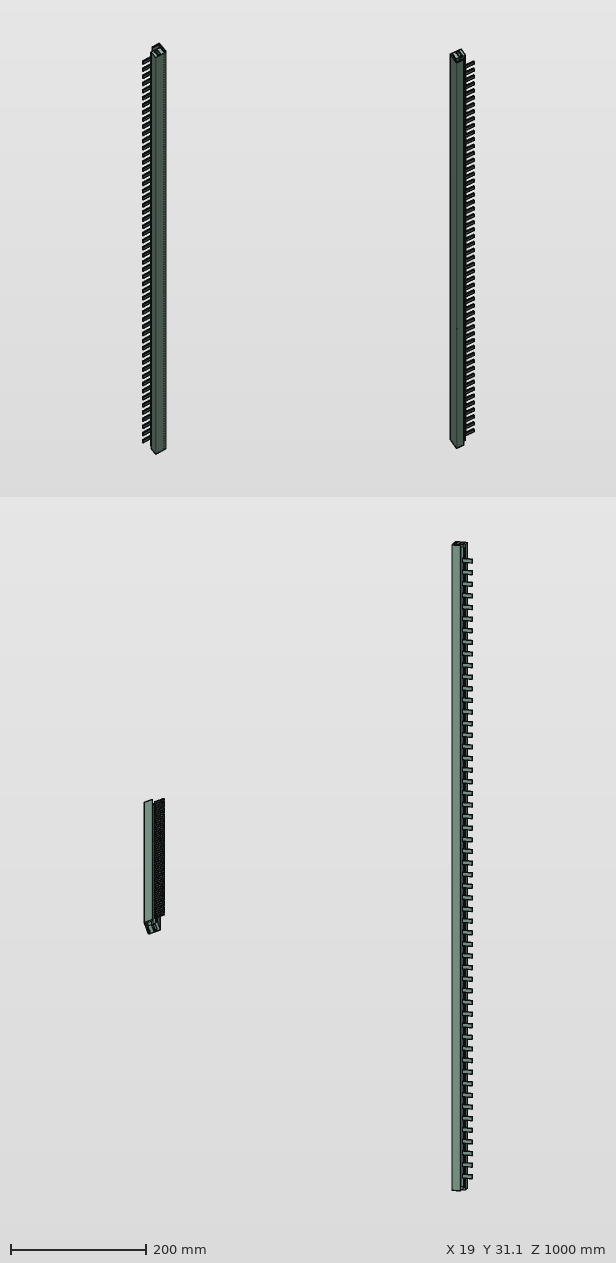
import cadquery as cq

length = 1000.0
width = 19.0
depth = 19.0
corner_radius = 0.6

pin_count = 54
pin_pitch = 18.0
pin_height = 6.0
pin_thickness = 2.0
pin_reach = 12.1
pin_root = 3.2
pin_left = 1.2
pin_right = pin_left + pin_thickness
first_pin_z = (length - (pin_count - 1) * pin_pitch) / 2
last_pin_z = length - first_pin_z

front_y = pin_reach
back_y = front_y + depth
back_wall = 2.0
left_wall = 2.0
left_wall_tip_y = 18.0

core_left = 7.0
core_back_y = 27.7
channel_back_y = back_y - back_wall
channel_right = 17.1
slope_back_y = 19.0
slope_front_y = 14.5
lip_left = 6.3

chamber_left = 8.0
chamber_right = channel_right
chamber_front_y = 16.5
chamber_back_y = 22.0

conductor_end_gap = 4.5
conductor_z = (conductor_end_gap, length - conductor_end_gap)
bar_thickness = 3.0
strip_left = 4.0
strip_front_y = 13.0
strip_back_y = 14.5


def block(x_range, y_range, z_range):
    """A box between the given limits."""
    size = [high - low for low, high in (x_range, y_range, z_range)]
    corner = (x_range[0], y_range[0], z_range[0])
    return cq.Workplane("XY").box(*size, centered=False).translate(corner)


def rounded_corner(body, x, y):
    """Round the lengthwise edge at (x, y)."""
    reach = corner_radius / 2
    near_edge = cq.selectors.BoxSelector((x - reach, y - reach, 0), (x + reach, y + reach, length))
    return body.edges("|Z").edges(near_edge).fillet(corner_radius)


def housing():
    """Extruded rail with rounded outer corners and a chamber through its core."""
    section = [
        (0, left_wall_tip_y),
        (left_wall, left_wall_tip_y),
        (left_wall, channel_back_y),
        (channel_right, channel_back_y),
        (channel_right, core_back_y),
        (core_left, core_back_y),
        (core_left, slope_back_y),
        (lip_left, slope_front_y),
        (lip_left, front_y),
        (width, front_y),
        (width, back_y),
        (0, back_y),
    ]
    body = cq.Workplane("XY").polyline(section).close().extrude(length)
    for x, y in ((0, left_wall_tip_y), (0, back_y), (width, back_y), (width, front_y)):
        body = rounded_corner(body, x, y)
    chamber = block((chamber_left, chamber_right), (chamber_front_y, chamber_back_y), (0, length))
    return body.cut(chamber)


def conductor_bar():
    """Bar lying against the front of the chamber."""
    y_range = (chamber_front_y, chamber_front_y + bar_thickness)
    return block((chamber_left, chamber_right), y_range, conductor_z)


def conductor_strip():
    """Strip leaving the front lip; it is wider where it carries the pins."""
    half_pin = pin_height / 2
    y_range = (strip_front_y, strip_back_y)
    full_strip = block((strip_left, core_left), y_range, conductor_z)
    carrier_z = (first_pin_z - half_pin, last_pin_z + half_pin)
    pin_carrier = block((pin_right, strip_left), y_range, carrier_z)
    return full_strip.union(pin_carrier)


def pins():
    """The row of pins, as a list of solids."""
    half_pin = pin_height / 2
    x_range = (pin_left, pin_right)
    y_range = (0, pin_reach + pin_root)
    heights = [first_pin_z + i * pin_pitch for i in range(pin_count)]
    return [block(x_range, y_range, (z - half_pin, z + half_pin)).val() for z in heights]


def comb():
    """Conductor strip with all pins attached."""
    strip = conductor_strip().val()
    return cq.Workplane(strip.fuse(*pins()))


result = housing().union(conductor_bar()).union(comb())